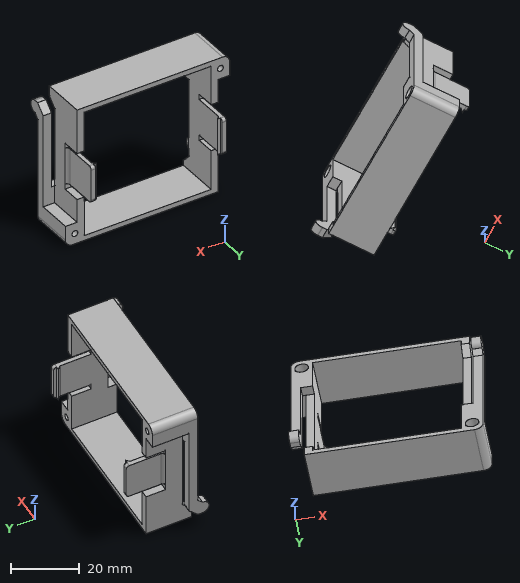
import cadquery as cq

length = 57.0
height = 47.0
frame_depth = 15.0
side_wall = 2.5
end_wall = 1.75
corner_radius = 2.5

arm_width = 2.95
arm_depth = 2.95
arm_gap = 1.0
front_block_height = 13.4
back_block_height = 7.4
wall_ramp_height = 3.55

knob_radius = 2.2
knob_reach = 1.55
knob_foot = 4.5

latch_height = 12.65
latch_thickness = 1.5
latch_reach = 6.0
latch_corner = 1.0
hook_size = 1.0
notch_height = 16.2
notch_depth = 6.45

hole_diameter = 2.0
head_diameter = 4.0
head_depth = 4.0
hole_inset_x = 3.25
hole_inset_z = 3.7

left = -length / 2
top = height / 2
bottom = -top
wall_outer = left + arm_width + arm_gap
wall_inner = wall_outer + side_wall
notch_floor = frame_depth - notch_depth
latch_tip = frame_depth + latch_reach
latch_outer = wall_inner - latch_thickness


def box(x0, x1, y0, y1, z0, z1):
    """Box between two opposite corners."""
    return cq.Workplane("XY").box(x1 - x0, y1 - y0, z1 - z0, centered=False).translate((x0, y0, z0))


def both_sides(shape):
    """The left-hand shape together with its half-turn copy on the right."""
    return shape.union(shape.rotate((0, 0, 0), (0, 1, 0), 180))


def make_ring():
    outer = box(wall_outer, -wall_outer, 0, frame_depth, bottom, top)
    return outer.cut(box(wall_inner, -wall_inner, 0, frame_depth, bottom + end_wall, top - end_wall))


def make_corner_block():
    """Solid corner, with a shallower front part carrying the arm."""
    back = box(left, wall_inner, 0, frame_depth, top - back_block_height, top)
    back = back.edges("|Y and <X and >Z").fillet(corner_radius)
    return back.union(box(left, wall_inner, 0, arm_depth, top - front_block_height, top - back_block_height))


def make_arm():
    """Side profile of arm and knob, extruded across the arm width."""
    knob_bottom = bottom + knob_foot
    knob_axis = knob_bottom + knob_radius
    knob_top = knob_axis + knob_radius
    return (
        cq.Workplane("YZ", origin=(left, 0, 0))
        .moveTo(arm_depth, top - front_block_height)
        .lineTo(0, top - front_block_height)
        .lineTo(0, knob_top + knob_reach)
        .lineTo(-knob_reach, knob_top)
        .threePointArc((-knob_reach - knob_radius, knob_axis), (-knob_reach, knob_bottom))
        .lineTo(0, knob_bottom)
        .lineTo(arm_depth, knob_bottom + arm_depth)
        .close()
        .extrude(arm_width)
    )


def make_wall_recess():
    """Front of the side wall set back to the arm depth, with a 45 degree ramp below."""
    ramp_foot = bottom + wall_ramp_height
    return (
        cq.Workplane("YZ", origin=(wall_outer, 0, 0))
        .moveTo(0, top - front_block_height)
        .lineTo(arm_depth, top - front_block_height)
        .lineTo(arm_depth, ramp_foot + arm_depth)
        .lineTo(0, ramp_foot)
        .close()
        .extrude(side_wall)
    )


def make_notch():
    return box(wall_outer, wall_inner, notch_floor, frame_depth, -notch_height / 2, notch_height / 2)


def make_latch():
    """Thin tongue with a filleted root and an inward hook."""
    root_radius = latch_outer - wall_outer
    plate = box(latch_outer, wall_inner, notch_floor, latch_tip, -latch_height / 2, latch_height / 2)
    plate = plate.edges("|X and >Y").fillet(latch_corner)
    root = box(wall_outer, latch_outer, notch_floor, notch_floor + root_radius,
               -latch_height / 2, latch_height / 2)
    root_round = (
        cq.Workplane("XY", origin=(wall_outer, notch_floor + root_radius, -latch_height / 2))
        .circle(root_radius)
        .extrude(latch_height)
    )
    hook_back = latch_tip - latch_corner
    hook = (
        cq.Workplane("XY", origin=(0, 0, -latch_height / 2))
        .moveTo(wall_inner, hook_back)
        .lineTo(wall_inner + hook_size, hook_back)
        .lineTo(wall_inner, hook_back - hook_size)
        .close()
        .extrude(latch_height)
    )
    return plate.union(root.cut(root_round)).union(hook)


def make_screw_hole():
    """Through hole with a counterbore in the front face."""
    front = cq.Workplane("XZ").center(left + hole_inset_x, top - hole_inset_z)
    bore = front.circle(hole_diameter / 2).extrude(-frame_depth)
    return bore.union(front.circle(head_diameter / 2).extrude(-head_depth))


frame = make_ring().union(both_sides(make_corner_block()))
frame = frame.cut(both_sides(make_wall_recess().union(make_notch())))
frame = frame.union(both_sides(make_arm().union(make_latch())))
result = frame.cut(both_sides(make_screw_hole()))